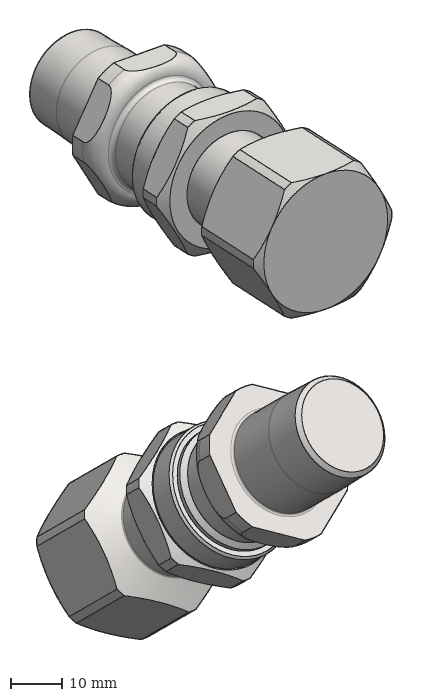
import cadquery as cq
import math

TOTAL_LENGTH = 83.1
ACROSS_FLATS = 30.0
NUT_CORNER_RADIUS = 16.8
HEX_CHAMFER_SLOPE = math.tan(math.radians(60))

STUD_TIP_RADIUS = 20.9 / 2
STUD_RADIUS = 21.35 / 2
TIP_CHAMFER = 0.9
TAPER_END = 9.9
STUD_HEX_START = 22.4
STUD_HEX_END = 29.4
STUD_CORNER_RADIUS = 16.2
STUD_CORNER_ROUND = 3.6
STUD_ROOT_FILLET = 0.5
SHANK_RADIUS = 23.3 / 2
SHANK_FILLET = STUD_CORNER_RADIUS - STUD_CORNER_ROUND - SHANK_RADIUS

SLEEVE_START = 36.9
SLEEVE_RADIUS = 25.4 / 2
RING_START = 38.9
RING_RADIUS = 28.6 / 2
RING_CHAMFER = 0.5
LOCK_NUT_START = 44.95
LOCK_NUT_END = 51.9
LOCK_NUT_FACE_RADIUS = 14.55

SPIGOT_RADIUS = 20.8 / 2
END_CONE_START = 61.6
END_CONE_FILLET = 0.3


def revolve_about_x(profile):
    """Revolve a closed (x, radius) profile about the X axis."""
    return profile.close().revolve(360, (0, 0, 0), (1, 0, 0))


def cylinder_x(radius, start, end):
    return cq.Workplane("YZ", origin=(start, 0, 0)).circle(radius).extrude(end - start)


def hexagon_x(start, end):
    """Hexagonal bar with flats on top and bottom and corners along Y."""
    across_corners = ACROSS_FLATS / math.cos(math.radians(30))
    return cq.Workplane("YZ", origin=(start, 0, 0)).polygon(6, across_corners).extrude(end - start)


def make_stud():
    barrel = revolve_about_x(
        cq.Workplane("XY")
        .lineTo(0, STUD_TIP_RADIUS - TIP_CHAMFER)
        .lineTo(TIP_CHAMFER, STUD_TIP_RADIUS)
        .lineTo(TAPER_END, STUD_RADIUS)
        .lineTo(STUD_HEX_START - STUD_ROOT_FILLET, STUD_RADIUS)
        .radiusArc((STUD_HEX_START, STUD_RADIUS + STUD_ROOT_FILLET), -STUD_ROOT_FILLET)
        .lineTo(STUD_HEX_START, 0)
    )
    corner_envelope = revolve_about_x(
        cq.Workplane("XY")
        .moveTo(STUD_HEX_START, 0)
        .lineTo(STUD_HEX_START, STUD_CORNER_RADIUS)
        .lineTo(STUD_HEX_END - STUD_CORNER_ROUND, STUD_CORNER_RADIUS)
        .radiusArc((STUD_HEX_END, STUD_CORNER_RADIUS - STUD_CORNER_ROUND), STUD_CORNER_ROUND)
        .lineTo(STUD_HEX_END, 0)
    )
    hexagon = hexagon_x(STUD_HEX_START, STUD_HEX_END).intersect(corner_envelope)
    shank = revolve_about_x(
        cq.Workplane("XY")
        .moveTo(STUD_HEX_END, 0)
        .lineTo(STUD_HEX_END, SHANK_RADIUS + SHANK_FILLET)
        .radiusArc((STUD_HEX_END + SHANK_FILLET, SHANK_RADIUS), -SHANK_FILLET)
        .lineTo(LOCK_NUT_START, SHANK_RADIUS)
        .lineTo(LOCK_NUT_START, 0)
    )
    return barrel.union(hexagon).union(shank)


def make_sleeve():
    lead_in = SLEEVE_RADIUS - SHANK_RADIUS
    return revolve_about_x(
        cq.Workplane("XY")
        .moveTo(SLEEVE_START, SHANK_RADIUS)
        .lineTo(SLEEVE_START + lead_in, SLEEVE_RADIUS)
        .lineTo(LOCK_NUT_START, SLEEVE_RADIUS)
        .lineTo(LOCK_NUT_START, SHANK_RADIUS)
    )


def make_ring():
    ring = cylinder_x(RING_RADIUS, RING_START, LOCK_NUT_START).faces("<X").chamfer(RING_CHAMFER)
    return ring.cut(cylinder_x(SLEEVE_RADIUS, RING_START, LOCK_NUT_START))


def make_lock_nut():
    chamfer_length = (NUT_CORNER_RADIUS - LOCK_NUT_FACE_RADIUS) / HEX_CHAMFER_SLOPE
    envelope = revolve_about_x(
        cq.Workplane("XY")
        .moveTo(LOCK_NUT_START, SPIGOT_RADIUS)
        .lineTo(LOCK_NUT_START, LOCK_NUT_FACE_RADIUS)
        .lineTo(LOCK_NUT_START + chamfer_length, NUT_CORNER_RADIUS)
        .lineTo(LOCK_NUT_END - chamfer_length, NUT_CORNER_RADIUS)
        .lineTo(LOCK_NUT_END, LOCK_NUT_FACE_RADIUS)
        .lineTo(LOCK_NUT_END, SPIGOT_RADIUS)
    )
    return hexagon_x(LOCK_NUT_START, LOCK_NUT_END).intersect(envelope)


def make_end_piece():
    cone_length = (NUT_CORNER_RADIUS - SPIGOT_RADIUS) / HEX_CHAMFER_SLOPE
    end_face_radius = ACROSS_FLATS / 2
    end_chamfer_length = (NUT_CORNER_RADIUS - end_face_radius) / HEX_CHAMFER_SLOPE
    envelope = revolve_about_x(
        cq.Workplane("XY")
        .moveTo(LOCK_NUT_START, 0)
        .lineTo(LOCK_NUT_START, SPIGOT_RADIUS)
        .lineTo(END_CONE_START, SPIGOT_RADIUS)
        .lineTo(END_CONE_START + cone_length, NUT_CORNER_RADIUS)
        .lineTo(TOTAL_LENGTH - end_chamfer_length, NUT_CORNER_RADIUS)
        .lineTo(TOTAL_LENGTH, end_face_radius)
        .lineTo(TOTAL_LENGTH, 0)
    )
    cone_root = cq.selectors.NearestToPointSelector((END_CONE_START, 0, 0))
    envelope = envelope.edges("%CIRCLE").edges(cone_root).fillet(END_CONE_FILLET)
    return hexagon_x(LOCK_NUT_START, TOTAL_LENGTH).intersect(envelope)


stud = make_stud()
sleeve = make_sleeve()
ring = make_ring()
lock_nut = make_lock_nut()
end_piece = make_end_piece()

result = cq.Compound.makeCompound(
    [stud.val(), sleeve.val(), ring.val(), lock_nut.val(), end_piece.val()]
)